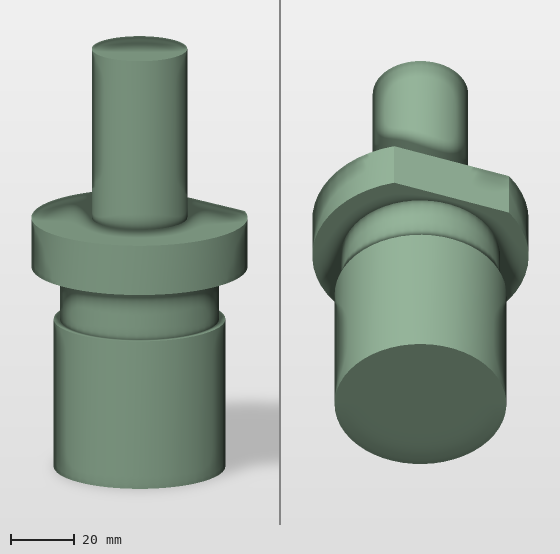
import cadquery as cq

total_height = 136.0

body_diameter = 54.0
body_height = 48.0

neck_diameter = 50.0
neck_height = 17.0

flange_diameter = 68.0
flange_height = 16.0
flat_distance = 28.0

shaft_diameter = 30.0
shaft_height = total_height - body_height - neck_height - flange_height

neck_bottom = body_height
flange_bottom = neck_bottom + neck_height
shaft_bottom = flange_bottom + flange_height


def cylinder(diameter, height, bottom):
    """Solid cylinder on the Z axis, starting at the given height."""
    return cq.Workplane("XY").workplane(offset=bottom).circle(diameter / 2).extrude(height)


def flange():
    """Round flange trimmed by a flat facing +Y."""
    flange_radius = flange_diameter / 2
    disc = cylinder(flange_diameter, flange_height, flange_bottom)
    kept_depth = flange_radius + flat_distance
    kept_block = (
        cq.Workplane("XY")
        .workplane(offset=flange_bottom)
        .center(0, flat_distance - kept_depth / 2)
        .rect(flange_diameter, kept_depth)
        .extrude(flange_height)
    )
    return disc.intersect(kept_block)


result = (
    cylinder(body_diameter, body_height, 0)
    .union(cylinder(neck_diameter, neck_height, neck_bottom))
    .union(flange())
    .union(cylinder(shaft_diameter, shaft_height, shaft_bottom))
)